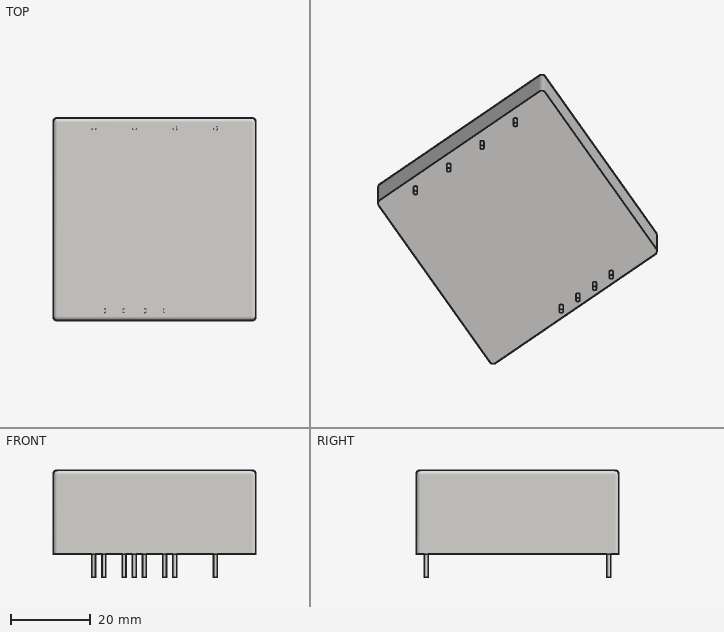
import cadquery as cq

case_side = 50.8
case_height = 21.05
edge_radius = 1.0

pin_diameter = 1.0
pin_length = 5.8
pin_pitch = 2.55
row_offset = 22.85
front_row_steps = (-5, -3, -1, 1)
back_row_steps = (-6, -2, 2, 6)


def make_case():
    """Block with rounded upright and top edges and a sharp bottom rim."""
    block = cq.Workplane("XY").box(case_side, case_side, case_height, centered=(True, True, False))
    return block.edges("|Z or >Z").fillet(edge_radius)


def make_pin_row(steps, row_y):
    """Row of round pins hanging from the case bottom, placed in pitch steps along X."""
    centers = [(step * pin_pitch, row_y) for step in steps]
    return cq.Workplane("XY").pushPoints(centers).circle(pin_diameter / 2).extrude(-pin_length)


front_pins = make_pin_row(front_row_steps, -row_offset)
back_pins = make_pin_row(back_row_steps, row_offset)
result = make_case().union(front_pins).union(back_pins)